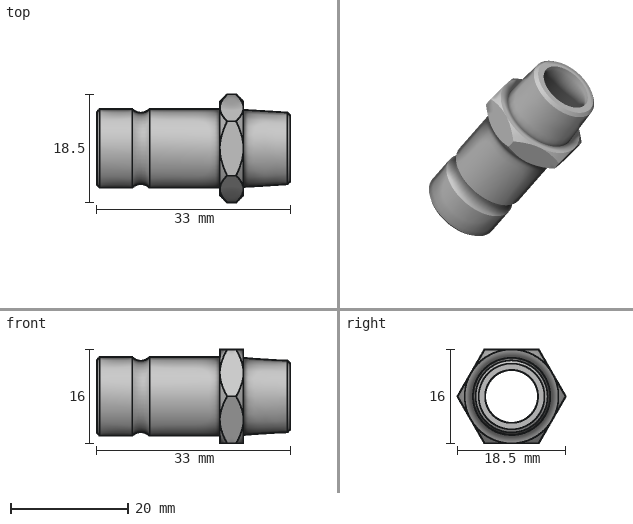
import cadquery as cq
import math

total_length = 33.0
body_radius = 6.73
bore_radius = 4.5
end_chamfer = 0.53

groove_start = 6.0
groove_width = 3.0
groove_depth = 0.63

hex_start = 21.0
hex_width = 4.0
hex_across_flats = 16.0

spigot_root_radius = 6.6
spigot_tip_radius = 6.15

hex_end = hex_start + hex_width
groove_end = groove_start + groove_width
groove_middle = groove_start + groove_width / 2


def make_round_body():
    """Revolve the outer half-profile about the X axis."""
    return (
        cq.Workplane("XY")
        .moveTo(0, 0)
        .lineTo(0, body_radius - end_chamfer)
        .lineTo(end_chamfer, body_radius)
        .lineTo(groove_start, body_radius)
        .threePointArc((groove_middle, body_radius - groove_depth), (groove_end, body_radius))
        .lineTo(hex_end, body_radius)
        .lineTo(hex_end, spigot_root_radius)
        .lineTo(total_length - end_chamfer, spigot_tip_radius)
        .lineTo(total_length, spigot_tip_radius - end_chamfer)
        .lineTo(total_length, 0)
        .close()
        .revolve(360, (0, 0, 0), (1, 0, 0))
    )


def make_hex_collar():
    """Hexagonal prism whose corners are turned down by a 45 degree cone on each side."""
    across_corners = hex_across_flats / math.cos(math.pi / 6)
    hexagon = (
        cq.Workplane("YZ", origin=(hex_start, 0, 0))
        .polygon(6, across_corners)
        .extrude(hex_width)
    )
    face_radius = hex_across_flats / 2
    corner_cones = (
        cq.Workplane("XY")
        .moveTo(hex_start, 0)
        .lineTo(hex_start, face_radius)
        .lineTo(hex_start + hex_width / 2, face_radius + hex_width / 2)
        .lineTo(hex_end, face_radius)
        .lineTo(hex_end, 0)
        .close()
        .revolve(360, (0, 0, 0), (1, 0, 0))
    )
    return hexagon.intersect(corner_cones)


bore = cq.Workplane("YZ").circle(bore_radius).extrude(total_length)

result = make_round_body().union(make_hex_collar()).cut(bore)